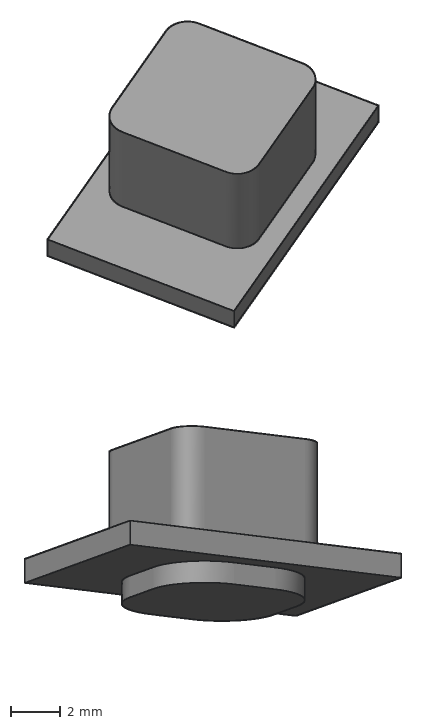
import cadquery as cq

plate_width = 8.54
plate_length = 12.73
plate_thickness = 1.0

footprint_side = 6.73
footprint_offset_x = -0.025

block_height = 4.5
block_corner_radius = 1.0

boss_height = 0.9
boss_corner_radius = 2.4


def rounded_square(height, corner_radius, base_z):
    """Square prism on the shared footprint with rounded vertical edges, rising from base_z."""
    prism = (
        cq.Workplane("XY")
        .workplane(offset=base_z)
        .center(footprint_offset_x, 0)
        .rect(footprint_side, footprint_side)
        .extrude(height)
    )
    return prism.edges("|Z").fillet(corner_radius)


plate = (
    cq.Workplane("XY")
    .workplane(offset=-plate_thickness)
    .rect(plate_width, plate_length)
    .extrude(plate_thickness)
)
block = rounded_square(block_height, block_corner_radius, 0)
boss = rounded_square(boss_height, boss_corner_radius, -plate_thickness - boss_height)

result = plate.union(block).union(boss)